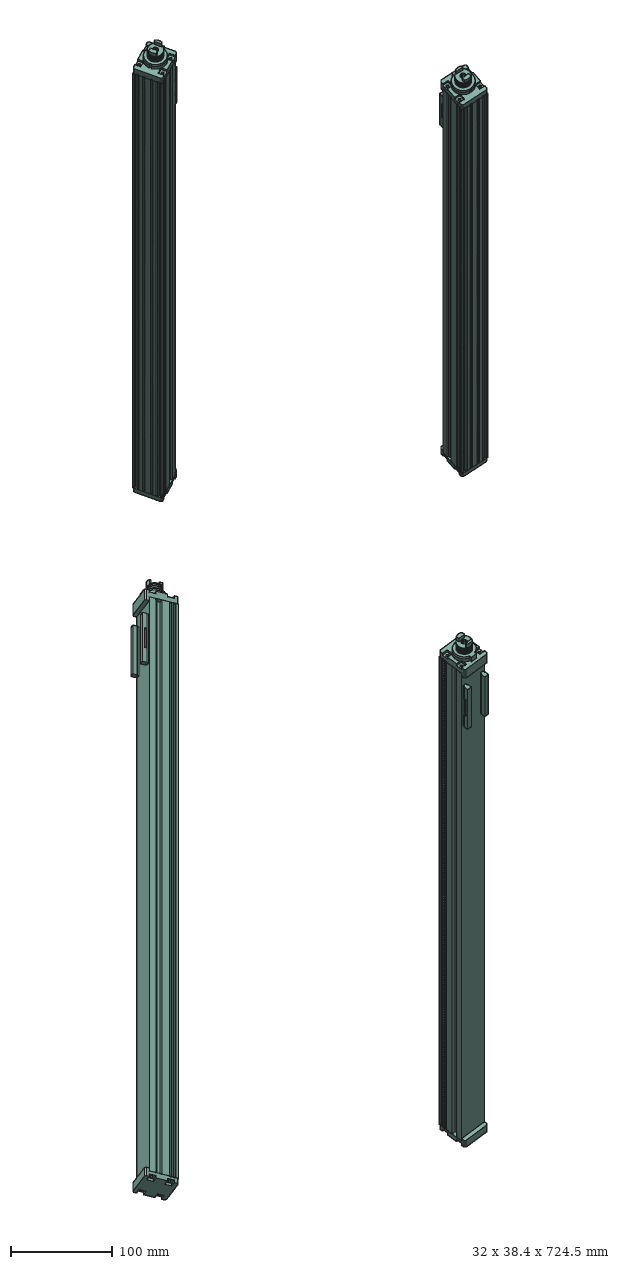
import cadquery as cq

total_height = 724.5
width = 32.0
front_y = -19.2
rail_back_y = 19.2
bottom_cap_thickness = 6.5
top_cap_top_z = 703.5
top_cap_thickness = 9.0

profile_back_y = 12.0
profile_bottom_z = bottom_cap_thickness
profile_top_z = top_cap_top_z - top_cap_thickness
profile_length = profile_top_z - profile_bottom_z
front_recess_outer_x = 14.1
front_recess_inner_x = 10.0
front_recess_bevel_width = 1.0
front_recess_depth = 1.1
front_groove_x = 4.0
front_groove_width = 2.0
recess_groove_width = 2.0
side_groove_ys = (-11.0, -15.0)
side_groove_width = 2.0
groove_depth = 1.1
side_slot_front_y = -1.1
side_slot_mouth_width = 6.5
side_slot_mouth_depth = 2.0
side_slot_inner_width = 4.0
side_slot_depth = 4.0

cap_back_y = 17.0
cap_corner_chamfer = 1.5
top_tab_height = 13.0
bottom_tab_height = 10.0
screw_notch_ys = (9.0, -11.0)
screw_notch_width = 7.0
screw_notch_length = 6.5
screw_notch_depth = 3.0
screw_socket_diameter = 3.0
screw_socket_depth = 2.0

flange_diameter = 24.5
flange_height = 6.5
flange_top_diameter = 23.0
flange_chamfer_height = 2.0
index_groove_width = 2.0
index_groove_depth = 1.0
lug_width = 7.0
lug_back_y = 14.0
barrel_diameter = 17.0
barrel_top_z = 719.0
barrel_groove_height = 2.0
barrel_groove_depth = 1.0
barrel_groove_count = 2
prong_width = 8.0
pin_socket_diameter = 6.0
pin_socket_depth = 3.5
pin_diameter = 1.2
pin_count = 4
pin_circle_diameter = 4.0
front_prong_inner_y = -3.5
back_prong_inner_y = 5.4

rail_bottom_z = 616.5
rail_length = 59.0
rail_outer_x = 14.5
rail_width = 5.0
rail_foot_top_y = 14.1
rail_foot_inset = 1.0
rail_pocket_length = 23.0
rail_pocket_width = 2.5
rail_pocket_depth = 1.5

sides = (-1, 1)
full_turn = 360


def block(x_ends, y_ends, z_ends):
    """Box between two coordinates on each axis, given in either order."""
    corner = [min(ends) for ends in (x_ends, y_ends, z_ends)]
    size = [abs(ends[1] - ends[0]) for ends in (x_ends, y_ends, z_ends)]
    return cq.Workplane("XY").box(*size, centered=False).translate(tuple(corner))


def make_profile():
    """Extruded housing with a recess near each front corner, fine grooves and a stepped slot per side."""
    half = width / 2
    recess_y = front_y + front_recess_depth
    recess_groove_x = front_recess_outer_x - recess_groove_width / 2
    z_ends = (profile_bottom_z, profile_top_z)
    right_half = [
        (half, profile_back_y),
        (half, front_y),
        (front_recess_outer_x, front_y),
        (front_recess_outer_x, recess_y),
        (front_recess_inner_x, recess_y),
        (front_recess_inner_x - front_recess_bevel_width, front_y),
    ]
    left_half = [(-x, y) for x, y in reversed(right_half)]
    profile = (
        cq.Workplane("XY", origin=(0, 0, profile_bottom_z))
        .polyline(right_half + left_half)
        .close()
        .extrude(profile_length)
    )
    for side in sides:
        for x, groove_width, surface_y in (
            (front_groove_x, front_groove_width, front_y),
            (recess_groove_x, recess_groove_width, recess_y),
        ):
            x_ends = (side * (x - groove_width / 2), side * (x + groove_width / 2))
            profile = profile.cut(block(x_ends, (surface_y, surface_y + groove_depth), z_ends))
        for y in side_groove_ys:
            y_ends = (y - side_groove_width / 2, y + side_groove_width / 2)
            profile = profile.cut(block((side * (half - groove_depth), side * half), y_ends, z_ends))
        for slot_width, depth in (
            (side_slot_mouth_width, side_slot_mouth_depth),
            (side_slot_inner_width, side_slot_depth),
        ):
            y_ends = (side_slot_front_y, side_slot_front_y + slot_width)
            profile = profile.cut(block((side * (half - depth), side * half), y_ends, z_ends))
    return profile


def make_cap(thickness, tab_height):
    """End cap with its outer face at Z = 0 and its body below, with a tab behind the housing."""
    half = width / 2
    plate = block((-half, half), (front_y, profile_back_y), (-thickness, 0))
    tab = block((-half, half), (profile_back_y, cap_back_y), (-tab_height, 0))
    cap = plate.union(tab).edges("|Z and (<Y or >Y)").chamfer(cap_corner_chamfer)
    for side in sides:
        for y in screw_notch_ys:
            x_ends = (side * (half - screw_notch_length), side * half)
            y_ends = (y - screw_notch_width / 2, y + screw_notch_width / 2)
            socket = (
                cq.Workplane("XY", origin=(sum(x_ends) / 2, y, -screw_notch_depth))
                .circle(screw_socket_diameter / 2)
                .extrude(-screw_socket_depth)
            )
            cap = cap.cut(block(x_ends, y_ends, (-screw_notch_depth, 0))).cut(socket)
    return cap


def make_top_cap():
    return make_cap(top_cap_thickness, top_tab_height).translate((0, 0, top_cap_top_z))


def make_bottom_cap():
    """Same kind of cap as at the top, with its outer face down at Z = 0."""
    return make_cap(bottom_cap_thickness, bottom_tab_height).mirror("XY")


def make_connector():
    """Round flange with a back lug, a grooved barrel with a pin socket, and two prongs on its top."""
    flange_top_z = top_cap_top_z + flange_height
    flange_radius = flange_diameter / 2
    flange_z_ends = (top_cap_top_z, flange_top_z)
    flange = (
        cq.Workplane("XY", origin=(0, 0, top_cap_top_z))
        .circle(flange_radius)
        .extrude(flange_height - flange_chamfer_height)
        .faces(">Z")
        .workplane()
        .circle(flange_radius)
        .workplane(offset=flange_chamfer_height)
        .circle(flange_top_diameter / 2)
        .loft()
    )
    index_groove = block(
        (-index_groove_width / 2, index_groove_width / 2),
        (-flange_radius, -flange_radius + index_groove_depth),
        flange_z_ends,
    )
    lug = block((-lug_width / 2, lug_width / 2), (0, lug_back_y), flange_z_ends)

    barrel_radius = barrel_diameter / 2
    barrel_height = barrel_top_z - flange_top_z
    barrel = (
        cq.Workplane("XY", origin=(0, 0, flange_top_z))
        .circle(barrel_radius)
        .extrude(total_height - flange_top_z)
    )
    prong_z_ends = (barrel_top_z, total_height)
    between_prongs = block(
        (-barrel_radius, barrel_radius), (front_prong_inner_y, back_prong_inner_y), prong_z_ends
    )
    barrel = barrel.cut(between_prongs)
    for side in sides:
        beside_prongs = block(
            (side * prong_width / 2, side * barrel_radius), (-barrel_radius, barrel_radius), prong_z_ends
        )
        barrel = barrel.cut(beside_prongs)
    pitch = barrel_height / barrel_groove_count
    for index in range(barrel_groove_count):
        groove_z = flange_top_z + (index + 0.5) * pitch - barrel_groove_height / 2
        ring = (
            cq.Workplane("XY", origin=(0, 0, groove_z))
            .circle(barrel_radius)
            .circle(barrel_radius - barrel_groove_depth)
            .extrude(barrel_groove_height)
        )
        barrel = barrel.cut(ring)
    pin_socket = (
        cq.Workplane("XY", origin=(0, 0, barrel_top_z))
        .circle(pin_socket_diameter / 2)
        .extrude(-pin_socket_depth)
    )
    pins = (
        cq.Workplane("XY", origin=(0, 0, barrel_top_z))
        .polarArray(pin_circle_diameter / 2, 0, full_turn, pin_count)
        .circle(pin_diameter / 2)
        .extrude(-pin_socket_depth)
    )
    barrel = barrel.cut(pin_socket.cut(pins))
    return flange.cut(index_groove).union(lug).union(barrel)


def make_rail(side):
    """Rail on the housing's back: a narrow foot under a wider head with a pocket in its outer side."""
    z_ends = (rail_bottom_z, rail_bottom_z + rail_length)
    middle_z = sum(z_ends) / 2
    outer_x = side * rail_outer_x
    inner_x = side * (rail_outer_x - rail_width)
    foot = block(
        (outer_x - side * rail_foot_inset, inner_x + side * rail_foot_inset),
        (profile_back_y, rail_foot_top_y),
        z_ends,
    )
    head = block((outer_x, inner_x), (rail_foot_top_y, rail_back_y), z_ends)
    pocket = block(
        (outer_x, outer_x - side * rail_pocket_depth),
        (rail_foot_top_y, rail_foot_top_y + rail_pocket_width),
        (middle_z - rail_pocket_length / 2, middle_z + rail_pocket_length / 2),
    )
    return head.cut(pocket).union(foot)


profile = make_profile()
top_cap = make_top_cap()
bottom_cap = make_bottom_cap()
connector = make_connector()
rails = [make_rail(side) for side in sides]

result = cq.Compound.makeCompound(
    [
        profile.val(),
        top_cap.val(),
        bottom_cap.val(),
        connector.val(),
        *[rail.val() for rail in rails],
    ]
)